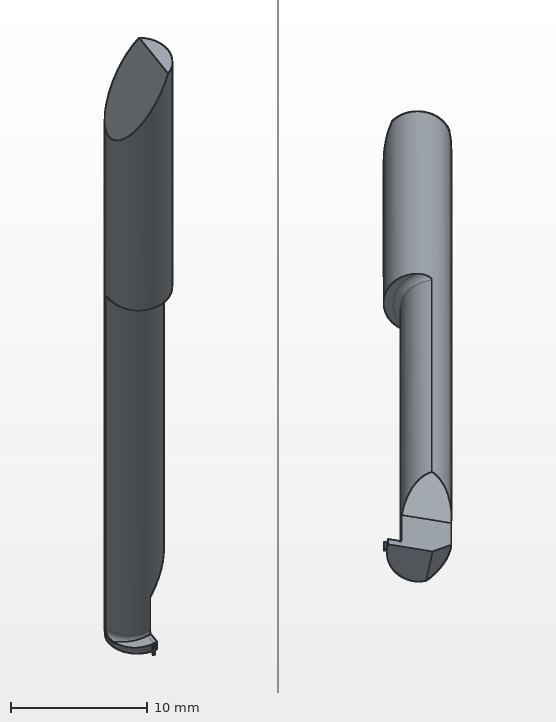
import cadquery as cq
import math

length = 59.5
bar_diameter = 5.0
bar_radius = bar_diameter / 2
body_bottom = 0.2

bevel_angle = 60.0
bevel_depth = 6.55
bevel_run = bevel_depth / math.tan(math.radians(bevel_angle))

flat_y = 0.3
flat_top = 4.7
ramp_top = 8.1

neck_shift = bar_radius / 2
neck_top = 36.1
neck_fillet = 0.55

head_top = 0.95
head_front_top = 0.7
head_shift = (-0.25, 0.03)
chamfer_height = 1.4

tip_width = 0.2
tip_thickness = 0.2

margin = 0.6


def cylinder(center, bottom, top):
    return cq.Workplane("XY", origin=(*center, bottom)).circle(bar_radius).extrude(top - bottom)


def yz_prism(points):
    return cq.Workplane("YZ").polyline(points).close().extrude(bar_diameter, both=True)


def make_neck():
    """Shifted cylinder with concave rounds flaring out into the head and the shoulder."""
    flare_radius = bar_radius + neck_fillet
    shoulder_radius = bar_radius + neck_shift + margin
    arc_offset = neck_fillet * (1 - math.sqrt(0.5))
    neck = (
        cq.Workplane("XZ")
        .lineTo(bar_radius, 0)
        .lineTo(bar_radius, head_front_top)
        .lineTo(flare_radius, head_front_top)
        .threePointArc(
            (bar_radius + arc_offset, head_front_top + arc_offset),
            (bar_radius, head_front_top + neck_fillet),
        )
        .lineTo(bar_radius, neck_top - neck_fillet)
        .threePointArc(
            (bar_radius + arc_offset, neck_top - arc_offset),
            (flare_radius, neck_top),
        )
        .lineTo(shoulder_radius, neck_top)
        .lineTo(shoulder_radius, length)
        .lineTo(0, length)
        .close()
        .revolve(360, (0, 0, 0), (0, 1, 0))
    )
    return neck.translate((-neck_shift, 0, 0))


def make_head():
    """Head section whose top slopes down toward -Y."""
    wedge = yz_prism([
        (-bar_radius, 0),
        (bar_radius, 0),
        (bar_radius, head_top),
        (0, head_top),
        (-bar_radius, head_front_top),
    ])
    return wedge.intersect(cylinder(head_shift, body_bottom, head_top))


def bevel_cutter():
    slope = bevel_depth / bevel_run
    face_bottom = length - bevel_depth - margin * slope
    face_top = length + margin * slope
    return yz_prism([
        (-bar_radius - margin, face_bottom),
        (-bar_radius + bevel_run + margin, face_top),
        (-bar_radius - margin, face_top),
    ])


def flat_cutter():
    return yz_prism([
        (flat_y, -margin),
        (flat_y, flat_top),
        (bar_radius, ramp_top),
        (bar_radius + margin, ramp_top),
        (bar_radius + margin, -margin),
    ])


def corner_cutter():
    """45 degree cut of the lower -X corner."""
    return (
        cq.Workplane("XZ")
        .moveTo(-bar_radius - margin, body_bottom + chamfer_height + margin)
        .lineTo(-bar_radius + chamfer_height + margin, body_bottom - margin)
        .lineTo(-bar_radius - margin, body_bottom - margin)
        .close()
        .extrude(bar_diameter, both=True)
    )


def make_tip():
    """Small upright cutting edge at the outermost side of the head."""
    block = cq.Workplane("XY").box(tip_width, tip_thickness, head_top, centered=False)
    return block.translate((bar_radius - tip_width, -tip_thickness, 0))


def make_bar():
    shifted_neck = make_neck().union(make_head())
    bar = cylinder((0, 0), body_bottom, length).intersect(shifted_neck)
    return bar.cut(bevel_cutter()).cut(flat_cutter()).cut(corner_cutter())


cutting_tip = make_tip()
bar = make_bar().cut(cutting_tip)
result = cq.Compound.makeCompound([bar.val(), cutting_tip.val()])